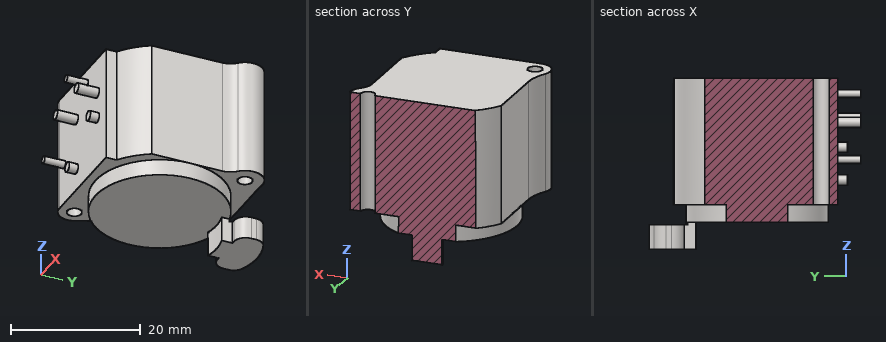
import cadquery as cq
import math


housing_height = 19.5
half_width = 11.0
crown_radius = 12.8
front_y = -12.45
front_corner_x = 7.05
shelf_thickness = 1.0

ear_offset = 9.9
ear_hole_diameter = 2.35
rear_ear_radius = 3.0
front_ear_radius = -front_y - ear_offset
rear_side_blend = 3.0
rear_crown_blend = 6.52
front_side_blend = 8.0

boss_radius = half_width
boss_height = 2.7

lever_tip_y = 16.65
lever_inner_y = 11.22
lever_width = 10.0
lever_tip_radius = 10.0
lever_corner_radius = 2.0
lever_bottom_z = -6.88
lever_thickness = 3.82
neck_width = 5.02
neck_inner_radius = 9.72

long_pin_length = 3.52
short_pin_length = 1.5
thin_pin_radius = 0.62
thick_pin_radius = 0.8
pin_column_x = 3.82
pins = [
    (0, 17.13, thin_pin_radius, long_pin_length),
    (-8.2, 6.98, thin_pin_radius, long_pin_length),
    (-pin_column_x, 12.7, thick_pin_radius, long_pin_length),
    (pin_column_x, 13.35, thick_pin_radius, long_pin_length),
    (pin_column_x, 8.87, thick_pin_radius, short_pin_length),
    (-pin_column_x, 3.82, thick_pin_radius, short_pin_length),
]


def toward(start, target, distance):
    """Point at the given distance from start on the line to target."""
    span = math.dist(start, target)
    return tuple(s + (t - s) * distance / span for s, t in zip(start, target))


def arc_to(path, start, end, center):
    """Add the shorter arc from start to end about center."""
    chord_middle = tuple((s + e) / 2 for s, e in zip(start, end))
    middle = toward(center, chord_middle, math.dist(center, start))
    return path.threePointArc(middle, end)


def make_housing():
    axis = (0, 0)
    rear_ear = (ear_offset, ear_offset)
    front_ear = (-ear_offset, -ear_offset)

    rise = math.sqrt((rear_ear_radius + rear_side_blend) ** 2
                     - (half_width + rear_side_blend - ear_offset) ** 2)
    rear_side_center = (half_width + rear_side_blend, ear_offset - rise)
    rise = math.sqrt((front_ear_radius + front_side_blend) ** 2
                     - (half_width + front_side_blend - ear_offset) ** 2)
    front_side_center = (-half_width - front_side_blend, rise - ear_offset)

    to_axis = crown_radius + rear_crown_blend
    to_ear = rear_ear_radius + rear_crown_blend
    axis_to_ear = math.dist(axis, rear_ear)
    cos_at_axis = (to_axis**2 + axis_to_ear**2 - to_ear**2) / (2 * to_axis * axis_to_ear)
    angle = math.radians(45) + math.acos(cos_at_axis)
    crown_blend_center = (to_axis * math.cos(angle), to_axis * math.sin(angle))

    side_y = math.sqrt(crown_radius**2 - half_width**2)
    corner_y = -math.sqrt(crown_radius**2 - front_corner_x**2)
    crown_start = (-half_width, side_y)
    crown_end = toward(axis, crown_blend_center, crown_radius)
    rear_ear_start = toward(rear_ear, crown_blend_center, rear_ear_radius)
    rear_ear_end = toward(rear_ear, rear_side_center, rear_ear_radius)
    right_side_top = (half_width, rear_side_center[1])
    right_side_bottom = (half_width, -side_y)
    corner_top = (front_corner_x, corner_y)
    front_ear_start = (-ear_offset, front_y)
    front_ear_end = toward(front_ear, front_side_center, front_ear_radius)
    left_side_bottom = (-half_width, front_side_center[1])

    path = cq.Workplane("XY").moveTo(*crown_start)
    path = arc_to(path, crown_start, crown_end, axis)
    path = arc_to(path, crown_end, rear_ear_start, crown_blend_center)
    path = arc_to(path, rear_ear_start, rear_ear_end, rear_ear)
    path = arc_to(path, rear_ear_end, right_side_top, rear_side_center)
    path = path.lineTo(*right_side_bottom)
    path = arc_to(path, right_side_bottom, corner_top, axis)
    path = path.lineTo(front_corner_x, front_y).lineTo(*front_ear_start)
    path = arc_to(path, front_ear_start, front_ear_end, front_ear)
    path = arc_to(path, front_ear_end, left_side_bottom, front_side_center)
    housing = path.close().extrude(housing_height)

    shelf = cq.Workplane("XY").box(
        ear_offset, crown_radius, shelf_thickness, centered=False
    )
    holes = (
        cq.Workplane("XY")
        .pushPoints([rear_ear, front_ear])
        .circle(ear_hole_diameter / 2)
        .extrude(housing_height)
    )
    return housing.union(shelf).cut(holes)


def make_boss():
    return cq.Workplane("XY").circle(boss_radius).extrude(-boss_height)


def make_lever():
    depth = lever_tip_y - lever_inner_y
    base = cq.Workplane("XY").workplane(offset=lever_bottom_z)
    tip_round = (
        base.center(0, lever_tip_y - lever_tip_radius)
        .circle(lever_tip_radius)
        .extrude(lever_thickness)
    )
    blade = (
        base.center(0, lever_inner_y + depth / 2)
        .rect(lever_width, depth)
        .extrude(lever_thickness)
        .intersect(tip_round)
        .edges("|Z")
        .fillet(lever_corner_radius)
    )

    neck_height = -boss_height - lever_bottom_z
    ring = base.circle(boss_radius).circle(neck_inner_radius).extrude(neck_height)
    slice_block = (
        base.center(0, lever_inner_y / 2)
        .rect(neck_width, lever_inner_y)
        .extrude(neck_height)
    )
    bridge = (
        base.center(0, lever_inner_y / 2)
        .rect(neck_width, lever_inner_y)
        .extrude(lever_thickness)
        .cut(base.circle(neck_inner_radius).extrude(lever_thickness))
    )
    return ring.intersect(slice_block).union(bridge).union(blade)


def make_pin(x, z, radius, length):
    front_face = cq.Workplane("XZ", origin=(0, front_y, 0))
    return front_face.center(x, z).circle(radius).extrude(length)


result = make_housing().union(make_boss()).union(make_lever())
for pin in pins:
    result = result.union(make_pin(*pin))